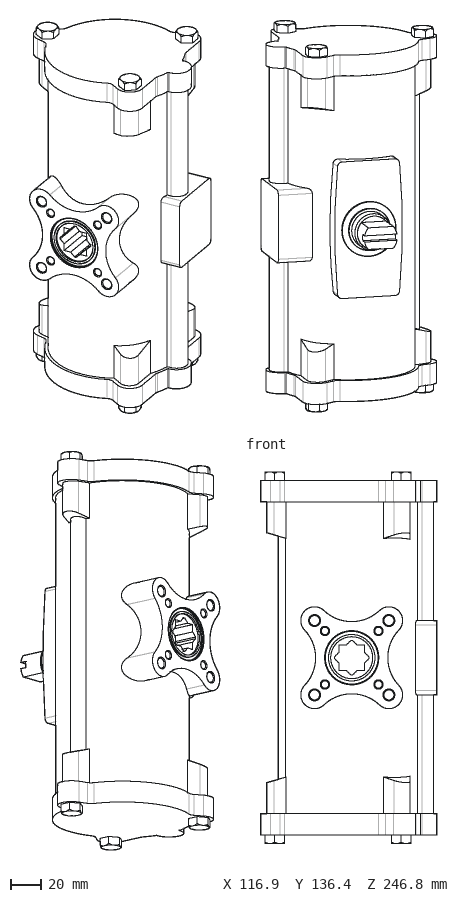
import cadquery as cq
import math

TOLERANCE = 0.02

HALF_HEIGHT = 123.4
BOLT_HEAD_HEIGHT = 5.7
CAP_THICKNESS = 14.3
CAP_TOP = HALF_HEIGHT - BOLT_HEAD_HEIGHT
BARREL_HALF = CAP_TOP - CAP_THICKNESS

BARREL_RADIUS = 44.5
CAP_RADIUS = 46.6
CAP_BLEND = 5.0
EAR_ANGLES = (180, 50, -50)
EAR_FLARE = 17
EAR_ROOT_SHARE = 0.9
CAP_EAR_OFFSET = 51.0
CAP_EAR_RADIUS = 9.4
BARREL_EAR_OFFSET = 49.5
BARREL_EAR_RADIUS = 7.0
EAR_TIP_Z = 83.0
EAR_SLOPE = 16

HEX_FLATS = 13.0
HEX_CORNERS = HEX_FLATS / math.cos(math.radians(30))
HEX_CHAMFER = 1.0

ROD_RIB_OFFSET = 42.5
ROD_RIB_RADIUS = 6.5
AIR_RIB_OFFSET = 46.6
AIR_RIB_RADIUS = 7.6
CAP_BUMP_RADIUS = 9.9
PORT_X = AIR_RIB_OFFSET + CAP_BUMP_RADIUS

PORT_Y_MIN = -13.5
PORT_Y_MAX = 29.5
PORT_HEIGHT = 49.3
PORT_CORNER = 3.0

PAD_Y = -56.2
PAD_LOBE_OFFSET = 24.7
PAD_LOBE_RADIUS = 9.1
PAD_WAIST = 24.0
BOLT_HOLE = 6.7
BOLT_HOLE_MOUTH = 8.0
BOLT_HOLE_DEPTH = 14.8
SMALL_HOLE_OFFSET = 17.8
SMALL_HOLE = 5.0
SMALL_HOLE_MOUTH = 6.2
SMALL_HOLE_DEPTH = 12.3

PLATE_Y = 49.8
PLATE_MID_WIDTH = 46.6
PLATE_END_WIDTH = 42.2
PLATE_HEIGHT = 92.8
PLATE_CORNER = 3.2

SHAFT_DIAMETER = 35.0
BORE_MOUTH = 36.0
SHAFT_RIM_DIAMETER = 30.8
SHAFT_RIM_Y = PAD_Y + 0.5
SHAFT_GROOVE_Y = PAD_Y + 1.5
SHAFT_FACE_DIAMETER = 28.0
SHAFT_FACE_Y = PAD_Y + 1.7
WASHER_DIAMETER = 37.0
WASHER_TOP = 51.3
SHOULDER_DIAMETER = 28.4
SHOULDER_TOP = 52.8
NECK_DIAMETER = 25.0
NECK_TOP = 62.7
NECK_CHAMFER = 1.2
NECK_CHAMFER_LENGTH = 2.0
TIP_DIAMETER = 22.7
TIP_TOP = 80.2
TIP_FLATS = 14.8
SLOT_WIDTH = 4.2
SLOT_DEPTH = 4.5
STAR_SIDE = 17.0
STAR_TIP_DIAMETER = 23.0
STAR_DEPTH = 24.7


def post(radius, x, z_low, z_high):
    """Upright cylinder with its axis in the XZ plane."""
    return cq.Workplane("XY", origin=(x, 0, z_low)).circle(radius).extrude(z_high - z_low)


def rib(offset, radius, half_length):
    """Full-length round-nosed rib running out from the axis to the given offset."""
    web = cq.Workplane("XY").box(abs(offset), 2 * radius, 2 * half_length).translate((offset / 2, 0, 0))
    return web.union(post(radius, offset, -half_length, half_length))


def ear(angle, offset, radius, hub_radius, z_low, z_high):
    """Flared ear with a round end; the two +X ears also get a web square to X."""
    height = z_high - z_low
    slope = math.radians(EAR_FLARE)
    tangent_x = offset + radius * math.sin(slope)
    tangent_y = radius * math.cos(slope)
    root_x = EAR_ROOT_SHARE * hub_radius
    root_y = tangent_y + (tangent_x - root_x) * math.tan(slope)
    flanks = [(root_x, -root_y), (tangent_x, -tangent_y), (tangent_x, tangent_y), (root_x, root_y)]
    body = cq.Workplane("XY", origin=(0, 0, z_low)).polyline(flanks).close().extrude(height)
    body = body.union(post(radius, offset, z_low, z_high))
    body = body.rotate((0, 0, 0), (0, 0, 1), angle)
    if angle != 180:
        centre_x = offset * math.cos(math.radians(angle))
        centre_y = offset * math.sin(math.radians(angle))
        side_x = centre_x + radius
        side_y = math.copysign(math.sqrt(hub_radius ** 2 - side_x ** 2), angle)
        corners = [(centre_x, centre_y), (side_x, centre_y), (side_x, side_y), (centre_x, side_y)]
        web = cq.Workplane("XY", origin=(0, 0, z_low)).polyline(corners).close().extrude(height)
        body = body.union(web)
    return body


def top_cap():
    """Round cap with three blended ears and a round bump over the air rib."""
    cap = post(CAP_RADIUS, 0, BARREL_HALF, CAP_TOP)
    for angle in EAR_ANGLES:
        cap = cap.union(ear(angle, CAP_EAR_OFFSET, CAP_EAR_RADIUS, CAP_RADIUS, BARREL_HALF, CAP_TOP))
    roots = cap.edges("|Z").filter(
        lambda edge: abs(math.hypot(edge.Center().x, edge.Center().y) - CAP_RADIUS) < TOLERANCE)
    cap = roots.fillet(CAP_BLEND)
    bump_web = cq.Workplane("XY").box(AIR_RIB_OFFSET, 2 * CAP_BUMP_RADIUS, CAP_THICKNESS)
    bump_web = bump_web.translate((AIR_RIB_OFFSET / 2, 0, BARREL_HALF + CAP_THICKNESS / 2))
    return cap.union(bump_web).union(post(CAP_BUMP_RADIUS, AIR_RIB_OFFSET, BARREL_HALF, CAP_TOP))


def barrel_ears():
    """Ears below the top cap, cut off by planes that drop toward the barrel."""
    tip_x = BARREL_EAR_OFFSET + BARREL_EAR_RADIUS
    drop = tip_x * math.tan(math.radians(EAR_SLOPE))
    ears = cq.Workplane("XY")
    for angle in EAR_ANGLES:
        wedge = (
            cq.Workplane("XZ")
            .polyline([(tip_x, EAR_TIP_Z), (tip_x, BARREL_HALF), (0, BARREL_HALF), (0, EAR_TIP_Z - drop)])
            .close().extrude(BARREL_RADIUS, both=True)
            .rotate((0, 0, 0), (0, 0, 1), angle)
        )
        blank = ear(angle, BARREL_EAR_OFFSET, BARREL_EAR_RADIUS, BARREL_RADIUS, 0, BARREL_HALF)
        ears = ears.union(blank.intersect(wedge))
    return ears


def bolt_heads():
    """Hexagon heads on the three ears, with chamfered tops."""
    head = cq.Workplane("XY", origin=(0, 0, CAP_TOP)).polygon(6, HEX_CORNERS).extrude(BOLT_HEAD_HEIGHT)
    head = head.rotate((0, 0, 0), (0, 0, 1), 30)
    crown = post(HEX_CORNERS / 2, 0, CAP_TOP, HALF_HEIGHT).faces(">Z").chamfer(HEX_CHAMFER)
    head = head.intersect(crown)
    heads = cq.Workplane("XY")
    for angle in EAR_ANGLES:
        x = CAP_EAR_OFFSET * math.cos(math.radians(angle))
        y = CAP_EAR_OFFSET * math.sin(math.radians(angle))
        heads = heads.union(head.translate((x, y, 0)))
    return heads


def mounting_pad():
    """Four-lobed pad whose concave sides run tangent into the lobes."""
    lobe = PAD_LOBE_OFFSET
    inset = lobe - PAD_WAIST
    side_radius = (lobe ** 2 + inset ** 2 - PAD_LOBE_RADIUS ** 2) / (2 * (PAD_LOBE_RADIUS + inset))
    side_centre = PAD_WAIST + side_radius
    share = PAD_LOBE_RADIUS / (PAD_LOBE_RADIUS + side_radius)
    near = lobe * (1 - share)
    far = lobe + (side_centre - lobe) * share
    tip = lobe + PAD_LOBE_RADIUS / math.sqrt(2)
    outline = cq.Workplane("XZ", origin=(0, PAD_Y, 0)).moveTo(far, -near)
    for axis, normal in (((1, 0), (0, 1)), ((0, 1), (-1, 0)), ((-1, 0), (0, -1)), ((0, -1), (1, 0))):
        waist, side_end, lobe_tip, lobe_end = [
            (u * axis[0] + v * normal[0], u * axis[1] + v * normal[1])
            for u, v in ((PAD_WAIST, 0), (far, near), (tip, tip), (near, far))
        ]
        outline = outline.threePointArc(waist, side_end).threePointArc(lobe_tip, lobe_end)
    return outline.close().extrude(PAD_Y)


def pad_holes(offset, diameter, mouth, depth):
    """Four blind holes with chamfered mouths in the mounting pad."""
    lead = (mouth - diameter) / 2
    profile = [(0, 0), (mouth / 2, 0), (diameter / 2, lead), (diameter / 2, depth), (0, depth)]
    hole = cq.Workplane("XY").polyline(profile).close().revolve(360, (0, 0, 0), (0, 1, 0))
    holes = cq.Workplane("XY")
    for x in (-offset, offset):
        for z in (-offset, offset):
            holes = holes.union(hole.translate((x, PAD_Y, z)))
    return holes


def port_pad():
    """Flat rectangular pad with rounded corners."""
    pad = cq.Workplane("XY").box(PORT_X, PORT_Y_MAX - PORT_Y_MIN, PORT_HEIGHT)
    pad = pad.edges("|X").fillet(PORT_CORNER)
    return pad.translate((PORT_X / 2, (PORT_Y_MAX + PORT_Y_MIN) / 2, 0))


def top_plate():
    """Plate with slightly bowed long sides and rounded corners."""
    mid_x = PLATE_MID_WIDTH / 2
    end_x = PLATE_END_WIDTH / 2
    end_z = PLATE_HEIGHT / 2
    plate = (
        cq.Workplane("XZ")
        .moveTo(-end_x, -end_z)
        .lineTo(end_x, -end_z)
        .threePointArc((mid_x, 0), (end_x, end_z))
        .lineTo(-end_x, end_z)
        .threePointArc((-mid_x, 0), (-end_x, -end_z))
        .close().extrude(-PLATE_Y)
    )
    return plate.edges("|Y").fillet(PLATE_CORNER)


def shaft_bore():
    """Through bore for the shaft, chamfered at the mounting pad."""
    lead = (BORE_MOUTH - SHAFT_DIAMETER) / 2
    bore_radius = SHAFT_DIAMETER / 2
    profile = [(0, PAD_Y), (BORE_MOUTH / 2, PAD_Y), (bore_radius, PAD_Y + lead),
               (bore_radius, PLATE_Y), (0, PLATE_Y)]
    return cq.Workplane("XY").polyline(profile).close().revolve(360, (0, 0, 0), (0, 1, 0))


def make_housing():
    """Barrel with ribs, caps, bolt heads and pads as one solid."""
    upper = top_cap().union(barrel_ears()).union(bolt_heads())
    body = post(BARREL_RADIUS, 0, -BARREL_HALF, BARREL_HALF)
    body = body.union(rib(-ROD_RIB_OFFSET, ROD_RIB_RADIUS, BARREL_HALF))
    body = body.union(rib(AIR_RIB_OFFSET, AIR_RIB_RADIUS, BARREL_HALF))
    body = body.union(upper).union(upper.mirror("XY"))
    body = body.union(mounting_pad()).union(port_pad()).union(top_plate())
    body = body.cut(pad_holes(PAD_LOBE_OFFSET, BOLT_HOLE, BOLT_HOLE_MOUTH, BOLT_HOLE_DEPTH))
    body = body.cut(pad_holes(SMALL_HOLE_OFFSET, SMALL_HOLE, SMALL_HOLE_MOUTH, SMALL_HOLE_DEPTH))
    return body.cut(shaft_bore())


def star_socket():
    """Eight-pointed socket: a square plus a turned square with rounded tips."""
    socket = cq.Workplane("XZ", origin=(0, SHAFT_FACE_Y, 0)).rect(STAR_SIDE, STAR_SIDE).extrude(-STAR_DEPTH)
    limit = cq.Workplane("XZ", origin=(0, SHAFT_FACE_Y, 0)).circle(STAR_TIP_DIAMETER / 2).extrude(-STAR_DEPTH)
    return socket.union(socket.rotate((0, 0, 0), (0, 1, 0), 45).intersect(limit))


def make_shaft():
    """Stepped shaft with a flatted, slotted tip and a star socket at the other end."""
    profile = [
        (0, SHAFT_FACE_Y), (SHAFT_FACE_DIAMETER / 2, SHAFT_FACE_Y),
        (SHAFT_FACE_DIAMETER / 2, SHAFT_RIM_Y), (SHAFT_RIM_DIAMETER / 2, SHAFT_RIM_Y),
        (SHAFT_RIM_DIAMETER / 2, SHAFT_GROOVE_Y), (SHAFT_DIAMETER / 2, SHAFT_GROOVE_Y),
        (SHAFT_DIAMETER / 2, PLATE_Y), (WASHER_DIAMETER / 2, PLATE_Y), (WASHER_DIAMETER / 2, WASHER_TOP),
        (SHOULDER_DIAMETER / 2, WASHER_TOP), (SHOULDER_DIAMETER / 2, SHOULDER_TOP),
        (NECK_DIAMETER / 2, SHOULDER_TOP), (NECK_DIAMETER / 2, NECK_TOP - NECK_CHAMFER_LENGTH),
        (NECK_DIAMETER / 2 - NECK_CHAMFER, NECK_TOP), (0, NECK_TOP),
    ]
    body = cq.Workplane("XY").polyline(profile).close().revolve(360, (0, 0, 0), (0, 1, 0))
    tip_length = TIP_TOP - NECK_TOP
    tip = cq.Workplane("XZ", origin=(0, NECK_TOP, 0)).circle(TIP_DIAMETER / 2).extrude(-tip_length)
    flats = cq.Workplane("XY").box(TIP_DIAMETER, 2 * TIP_TOP, TIP_FLATS)
    slot = cq.Workplane("XY").box(TIP_DIAMETER, SLOT_DEPTH, SLOT_WIDTH)
    slot = slot.translate((0, TIP_TOP - SLOT_DEPTH / 2, 0))
    return body.union(tip.intersect(flats)).cut(slot).cut(star_socket())


housing = make_housing()
shaft = make_shaft()

result = cq.Compound.makeCompound([housing.val(), shaft.val()])